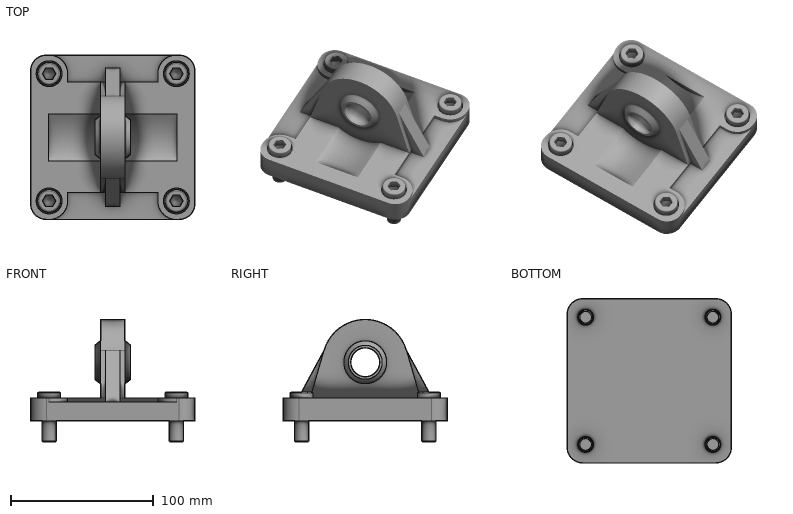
import cadquery as cq
import math

base_side = 115.0
base_height = 16.0
corner_radius = 11.0
recess_depth = 3.0
recess_floor = base_height - recess_depth

screw_offset = 44.5
boss_radius = base_side / 2 - screw_offset
hole_diameter = 11.0
counterbore_diameter = 18.0

shank_diameter = 10.0
shank_length = 25.0
shank_chamfer = 0.9
head_diameter = 16.0
head_height = 10.0
head_seat = 10.0
head_fillet = 0.9
socket_flats = 8.0
socket_depth = 5.1
socket_cone_angle = 120.0

lug_thickness = 17.0
lug_radius = 30.0
pivot_height = 40.9
lug_foot = 38.5
rib_thickness = 10.0
rib_foot = 48.4

trough_length = 90.0
trough_half_width = 16.5

ball_radius = 17.2
ball_width = 25.1
bore_diameter = 20.0

pivot_rise = pivot_height - base_height
trough_depth = math.hypot(trough_half_width, pivot_rise) - pivot_rise

foot_distance = math.hypot(lug_foot, pivot_rise)
tangent_angle = math.acos(lug_radius / foot_distance) - math.atan2(pivot_rise, lug_foot)
flank_y = lug_radius * math.cos(tangent_angle)
flank_z = pivot_height + lug_radius * math.sin(tangent_angle)


def centred_on_x(thickness):
    """YZ workplane placed so that an extrusion of this thickness straddles X = 0."""
    return cq.Workplane("YZ", origin=(-thickness / 2, 0, 0))


def on_screw_pattern(height):
    """Workplane at this height with one point per screw."""
    return (
        cq.Workplane("XY", origin=(0, 0, height))
        .rect(2 * screw_offset, 2 * screw_offset, forConstruction=True)
        .vertices()
    )


def make_edge_recess():
    """Shallow cut along the +Y edge of the plate, curving around both corner bosses."""
    inner_x = screw_offset - boss_radius
    arc_x = screw_offset - boss_radius * math.sqrt(0.5)
    arc_y = screw_offset + boss_radius * math.sqrt(0.5)
    return (
        cq.Workplane("XY", origin=(0, 0, recess_floor))
        .moveTo(-inner_x, lug_foot)
        .lineTo(inner_x, lug_foot)
        .lineTo(inner_x, screw_offset)
        .threePointArc((arc_x, arc_y), (screw_offset, base_side / 2))
        .lineTo(-screw_offset, base_side / 2)
        .threePointArc((-arc_x, arc_y), (-inner_x, screw_offset))
        .close()
        .extrude(recess_depth)
    )


def make_base():
    base = (
        cq.Workplane("XY")
        .rect(base_side, base_side)
        .extrude(base_height)
        .edges("|Z")
        .fillet(corner_radius)
    )
    recess = make_edge_recess()
    return base.cut(recess).cut(recess.mirror("XZ"))


def make_trough_half():
    """The +X half of the shallow round trough, from the lug face to the trough end."""
    return (
        cq.Workplane("YZ", origin=(lug_thickness / 2, 0, base_height))
        .moveTo(-trough_half_width, 0)
        .threePointArc((0, -trough_depth), (trough_half_width, 0))
        .close()
        .extrude((trough_length - lug_thickness) / 2)
    )


def make_lug():
    """Round-topped plate with straight flanks, rooted in the base plate."""
    return (
        centred_on_x(lug_thickness)
        .moveTo(-lug_foot, recess_floor)
        .lineTo(-lug_foot, base_height)
        .lineTo(-flank_y, flank_z)
        .threePointArc((0, pivot_height + lug_radius), (flank_y, flank_z))
        .lineTo(lug_foot, base_height)
        .lineTo(lug_foot, recess_floor)
        .close()
        .extrude(lug_thickness)
    )


def make_ribs():
    """Narrow gussets on both flanks of the lug, made as one wedge through it."""
    return (
        centred_on_x(rib_thickness)
        .moveTo(-rib_foot, recess_floor)
        .lineTo(-flank_y, flank_z)
        .lineTo(flank_y, flank_z)
        .lineTo(rib_foot, recess_floor)
        .close()
        .extrude(rib_thickness)
    )


def make_ball():
    """Sphere flattened on both sides, centred on the pivot and turned about the X direction."""
    half_width = ball_width / 2
    face_radius = math.sqrt(ball_radius**2 - half_width**2)
    return (
        cq.Workplane("XY", origin=(0, 0, pivot_height))
        .moveTo(-half_width, 0)
        .lineTo(-half_width, face_radius)
        .threePointArc((0, ball_radius), (half_width, face_radius))
        .lineTo(half_width, 0)
        .close()
        .revolve(360, (0, 0), (1, 0))
    )


def make_housing():
    trough_half = make_trough_half()
    base = make_base().cut(trough_half).cut(trough_half.mirror("YZ"))
    housing = base.union(make_lug()).union(make_ribs()).union(make_ball())
    bore = centred_on_x(ball_width).center(0, pivot_height).circle(bore_diameter / 2).extrude(ball_width)
    holes = on_screw_pattern(0).circle(hole_diameter / 2).extrude(base_height)
    counterbore_depth = base_height - head_seat
    counterbores = on_screw_pattern(head_seat).circle(counterbore_diameter / 2).extrude(counterbore_depth)
    return housing.cut(bore).cut(holes).cut(counterbores)


def make_socket():
    """Hexagonal socket with a conical floor, opening at the top of the head."""
    socket_corner = socket_flats / math.sqrt(3)
    cone_depth = socket_corner / math.tan(math.radians(socket_cone_angle / 2))
    full_depth = socket_depth + cone_depth
    hexagon = cq.Workplane("XY").polygon(6, 2 * socket_corner).extrude(-full_depth)
    cone_height = 2 * full_depth
    cone_radius = cone_height * socket_corner / cone_depth
    cone = (
        cq.Workplane("XZ")
        .polyline([(0, -full_depth), (cone_radius, cone_height - full_depth), (0, cone_height - full_depth)])
        .close()
        .revolve(360, (0, 0), (0, 1))
    )
    return hexagon.intersect(cone).translate((0, 0, head_seat + head_height))


def make_screw():
    """Socket head screw on the Z axis, its head resting on the counterbore floor."""
    seat = cq.Workplane("XY", origin=(0, 0, head_seat))
    head = seat.circle(head_diameter / 2).extrude(head_height).faces(">Z").edges().fillet(head_fillet)
    shank = seat.circle(shank_diameter / 2).extrude(-shank_length).faces("<Z").chamfer(shank_chamfer)
    return head.union(shank).cut(make_socket())


housing = make_housing()
screws = [
    make_screw().translate((x, y, 0))
    for x in (-screw_offset, screw_offset)
    for y in (-screw_offset, screw_offset)
]

result = cq.Compound.makeCompound([housing.solids().val(), *[screw.solids().val() for screw in screws]])